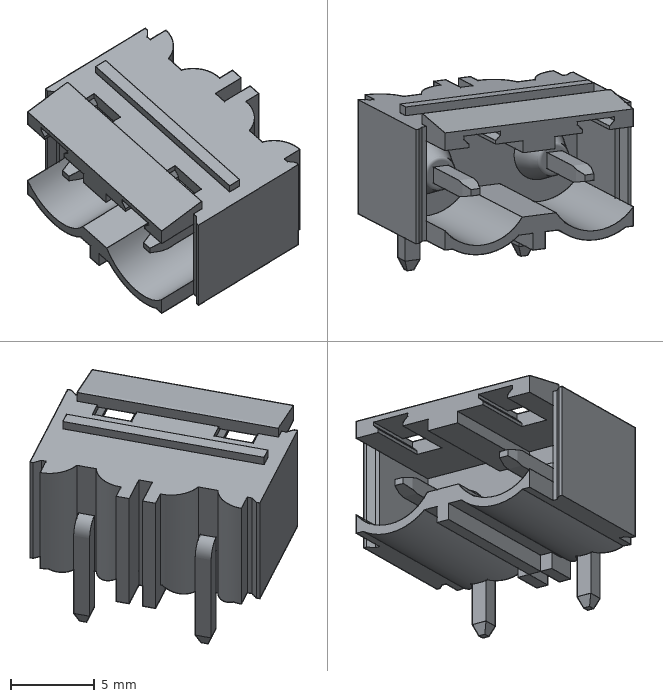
import cadquery as cq
import math


PITCH = 7.62
PIN_CENTRES = [-PITCH / 2, PITCH / 2]
PIN_SIZE = 1.0
PIN_HALF = PIN_SIZE / 2
PIN_FRONT = -9.0
PIN_BOTTOM = -6.95
BEND_RADIUS = 1.0
CONTACT_TIP_WIDTH = 0.6
CONTACT_TIP_HEIGHT = 0.4
CONTACT_SIDE_TAPER = 0.75
CONTACT_FACE_TAPER = 1.2
LEG_TIP_SIZE = 0.44
LEG_TAPER = 0.7

CORE_WIDTH = PITCH + 5.0
CORE_HALF = CORE_WIDTH / 2
LENGTH = 11.75
LUG_REACH = 1.0
CORE_BACK = 0.85
HOUSING_BACK = CORE_BACK + LUG_REACH
HOUSING_FRONT = HOUSING_BACK - LENGTH
TOP = 4.0
SIDE_BOTTOM = -3.09
WEB_BOTTOM = -2.74

ROOF = 3.09
LAND = -1.645
TROUGH_AXIS = 0.15
TROUGH_RADIUS = 3.22
TROUGH_WALL = 0.58
CAVITY_BACK = -2.3

COLLAR_BASE_RADIUS = 1.71
COLLAR_TIP_RADIUS = 1.05
COLLAR_LENGTH = 2.0
COLLAR_ROUNDING = 0.2

TOTAL_WIDTH = 14.42
PLATE_HALF = TOTAL_WIDTH / 2
PLATE_LENGTH = 7.78
PLATE_EDGE = 0.21
PLATE_SLOPE_WIDTH = 0.4
PLATE_NOTCH = 0.36

LATCH_BACK = -6.78
LATCH_TOP = 4.65
LATCH_CREST = 0.2
LATCH_NOSE = 4.19
RIB_BACK = -3.83
RIB_THICKNESS = 0.78
RIB_TOP = 4.54
KEY_WIDTH = 2.14
KEY_BOTTOM = 2.34

FLARE_WIDTH = 2.47
FLARE_THROAT = 1.8
FLARE_TOP = 3.84
FLARE_SHOULDER = 3.63
FLARE_NECK = 3.31
FLARE_BACK = -5.77

KEEL_BOTTOM = -3.79
FORK_WIDTH = 2.47
FORK_GAP = 0.84
FORK_DEPTH = 2.0
FORK_ROOT = HOUSING_BACK - FORK_DEPTH
SCALLOP_RADIUS = 2.0


def box(x0, x1, y0, y1, z0, z1):
    """Block between two opposite corners."""
    return cq.Workplane("XY").box(x1 - x0, y1 - y0, z1 - z0, centered=False).translate((x0, y0, z0))


def centred_box(width, y0, y1, z0, z1):
    """Block centred on X = 0."""
    return box(-width / 2, width / 2, y0, y1, z0, z1)


def trough_cylinder(x, radius, y0, y1):
    """Cylinder along Y on a trough axis."""
    plane = cq.Workplane("XZ", origin=(x, y1, TROUGH_AXIS))
    return plane.circle(radius).extrude(y1 - y0)


def core():
    """Block whose underside bulges around the troughs."""
    body = centred_box(CORE_WIDTH, HOUSING_FRONT, CORE_BACK, SIDE_BOTTOM, TOP)
    body = body.cut(centred_box(PITCH, HOUSING_FRONT, CORE_BACK, SIDE_BOTTOM, WEB_BOTTOM))
    limits = centred_box(CORE_WIDTH, HOUSING_FRONT, CORE_BACK, PIN_BOTTOM, 0)
    for x in PIN_CENTRES:
        bulge = trough_cylinder(x, TROUGH_RADIUS + TROUGH_WALL, HOUSING_FRONT, CORE_BACK)
        body = body.union(bulge.intersect(limits))
    return body


def cavity():
    """Space for the mating plug, open at the front."""
    space = centred_box(CORE_WIDTH, HOUSING_FRONT, CAVITY_BACK, LAND, ROOF)
    limits = centred_box(CORE_WIDTH, HOUSING_FRONT, CAVITY_BACK, PIN_BOTTOM, 0)
    for x in PIN_CENTRES:
        trough = trough_cylinder(x, TROUGH_RADIUS, HOUSING_FRONT, CAVITY_BACK)
        space = space.union(trough.intersect(limits))
    return space


def side_plates():
    """Plates on both sides, with dovetail edges at the front and back."""
    edge_x = PLATE_HALF - PLATE_EDGE
    notch_x = edge_x - PLATE_SLOPE_WIDTH
    outline = [
        (CORE_HALF, -PLATE_NOTCH),
        (notch_x, -PLATE_NOTCH),
        (edge_x, 0),
        (PLATE_HALF, 0),
        (PLATE_HALF, -PLATE_LENGTH),
        (edge_x, -PLATE_LENGTH),
        (notch_x, -PLATE_LENGTH + PLATE_NOTCH),
        (CORE_HALF, -PLATE_LENGTH + PLATE_NOTCH),
    ]
    plane = cq.Workplane("XY", origin=(0, 0, SIDE_BOTTOM))
    plate = plane.polyline(outline).close().extrude(TOP - SIDE_BOTTOM)
    return plate.union(plate.mirror("YZ"))


def latch():
    """Wedge on the front of the roof."""
    outline = [
        (LATCH_BACK, TOP),
        (LATCH_BACK, LATCH_TOP),
        (LATCH_BACK - LATCH_CREST, LATCH_TOP),
        (HOUSING_FRONT, LATCH_NOSE),
        (HOUSING_FRONT, TOP),
    ]
    plane = cq.Workplane("YZ", origin=(-CORE_HALF, 0, 0))
    return plane.polyline(outline).close().extrude(CORE_WIDTH)


def flared_slot(x):
    """Roof slot, narrow at the cavity and wide above; it opens upwards behind the latch."""
    wide = FLARE_WIDTH / 2
    narrow = FLARE_THROAT / 2
    outline = [
        (-narrow, ROOF),
        (-narrow, FLARE_NECK),
        (-wide, FLARE_SHOULDER),
        (-wide, FLARE_TOP),
        (wide, FLARE_TOP),
        (wide, FLARE_SHOULDER),
        (narrow, FLARE_NECK),
        (narrow, ROOF),
    ]
    plane = cq.Workplane("XZ", origin=(x, FLARE_BACK, 0))
    slot = plane.polyline(outline).close().extrude(FLARE_BACK - HOUSING_FRONT)
    return slot.union(box(x - wide, x + wide, LATCH_BACK, FLARE_BACK, FLARE_TOP, TOP))


def scallop(x):
    """Rear recess around a pin leg, with convex round sides and a flat back."""
    floor_y = -PIN_HALF
    reach = CORE_HALF - PITCH / 2
    depth = CORE_BACK - floor_y
    floor_half = reach - math.sqrt(SCALLOP_RADIUS**2 - (SCALLOP_RADIUS - depth) ** 2)
    half_angle = math.acos((SCALLOP_RADIUS - depth) / SCALLOP_RADIUS) / 2
    mid_x = reach - SCALLOP_RADIUS * math.sin(half_angle)
    mid_y = CORE_BACK - SCALLOP_RADIUS * (1 - math.cos(half_angle))
    plane = cq.Workplane("XY", origin=(x, 0, KEEL_BOTTOM))
    outline = (
        plane.moveTo(-reach, CORE_BACK)
        .threePointArc((-mid_x, mid_y), (-floor_half, floor_y))
        .lineTo(floor_half, floor_y)
        .threePointArc((mid_x, mid_y), (reach, CORE_BACK))
        .close()
    )
    return outline.extrude(TOP - KEEL_BOTTOM)


def collar(x):
    """Cone on the cavity's back wall with a rounded tip."""
    profile = (
        cq.Workplane("XY")
        .lineTo(COLLAR_BASE_RADIUS, 0)
        .lineTo(COLLAR_TIP_RADIUS, COLLAR_ROUNDING - COLLAR_LENGTH)
        .radiusArc((COLLAR_TIP_RADIUS - COLLAR_ROUNDING, -COLLAR_LENGTH), COLLAR_ROUNDING)
        .lineTo(0, -COLLAR_LENGTH)
        .close()
    )
    return profile.revolve(360, (0, 0, 0), (0, 1, 0)).translate((x, CAVITY_BACK, 0))


def rear_fork():
    """Full-height lugs at the back; the gap between them is cut afterwards."""
    return centred_box(FORK_WIDTH, FORK_ROOT, HOUSING_BACK, KEEL_BOTTOM, TOP)


def pin(x):
    """Square pin bent from a contact along -Y into a leg along -Z, tapered at both ends."""
    h = PIN_HALF
    side = (
        cq.Workplane("YZ", origin=(-h, 0, 0))
        .moveTo(PIN_FRONT, -CONTACT_TIP_HEIGHT / 2)
        .lineTo(PIN_FRONT, CONTACT_TIP_HEIGHT / 2)
        .lineTo(PIN_FRONT + CONTACT_FACE_TAPER, h)
        .lineTo(h - BEND_RADIUS, h)
        .radiusArc((h, h - BEND_RADIUS), BEND_RADIUS)
        .lineTo(h, PIN_BOTTOM + LEG_TAPER)
        .lineTo(LEG_TIP_SIZE / 2, PIN_BOTTOM)
        .lineTo(-LEG_TIP_SIZE / 2, PIN_BOTTOM)
        .lineTo(-h, PIN_BOTTOM + LEG_TAPER)
        .lineTo(-h, -h)
        .lineTo(PIN_FRONT + CONTACT_FACE_TAPER, -h)
        .close()
        .extrude(PIN_SIZE)
    )
    plan_outline = [
        (-h, h),
        (-h, PIN_FRONT + CONTACT_SIDE_TAPER),
        (-CONTACT_TIP_WIDTH / 2, PIN_FRONT),
        (CONTACT_TIP_WIDTH / 2, PIN_FRONT),
        (h, PIN_FRONT + CONTACT_SIDE_TAPER),
        (h, h),
    ]
    front_outline = [
        (-h, h),
        (-h, PIN_BOTTOM + LEG_TAPER),
        (-LEG_TIP_SIZE / 2, PIN_BOTTOM),
        (LEG_TIP_SIZE / 2, PIN_BOTTOM),
        (h, PIN_BOTTOM + LEG_TAPER),
        (h, h),
    ]
    plan = cq.Workplane("XY", origin=(0, 0, PIN_BOTTOM)).polyline(plan_outline).close()
    front = cq.Workplane("XZ", origin=(0, h, 0)).polyline(front_outline).close()
    tapered = side.intersect(plan.extrude(h - PIN_BOTTOM)).intersect(front.extrude(h - PIN_FRONT))
    return tapered.translate((x, 0, 0))


pins = [pin(x) for x in PIN_CENTRES]

housing = core().cut(cavity())
housing = housing.union(side_plates())
housing = housing.union(latch())
housing = housing.union(centred_box(CORE_WIDTH, RIB_BACK - RIB_THICKNESS, RIB_BACK, TOP, RIB_TOP))
housing = housing.union(centred_box(KEY_WIDTH, HOUSING_FRONT, CAVITY_BACK, KEY_BOTTOM, ROOF))
housing = housing.union(centred_box(FORK_GAP, HOUSING_FRONT, FORK_ROOT, KEEL_BOTTOM, WEB_BOTTOM))
housing = housing.union(rear_fork())
housing = housing.cut(centred_box(FORK_GAP, FORK_ROOT, HOUSING_BACK, KEEL_BOTTOM, TOP))
for centre in PIN_CENTRES:
    housing = housing.union(collar(centre))
    housing = housing.cut(flared_slot(centre))
    housing = housing.cut(scallop(centre))
for contact in pins:
    housing = housing.cut(contact)

result = cq.Compound.makeCompound([housing.val(), *[contact.val() for contact in pins]])